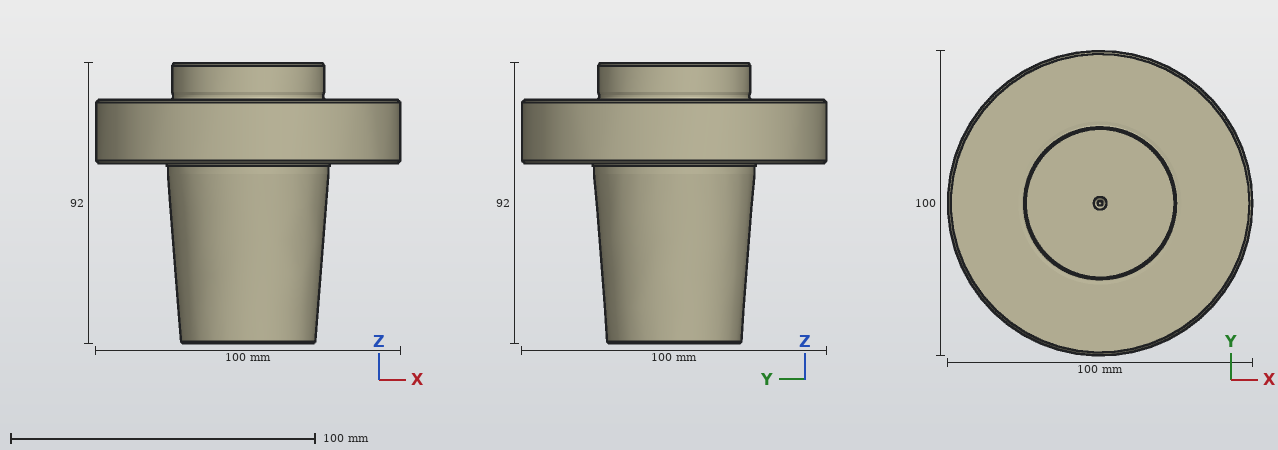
import cadquery as cq

flange_radius = 50
flange_height = 21
flange_chamfer = 1

spigot_radius = 25
spigot_height = 12
spigot_chamfer_height = 1
spigot_chamfer_width = 0.6

relief_depth = 0.3
relief_face_depth = 0.1
relief_height = 2.5
relief_slope_height = 1
relief_fillet = 1
relief_outer_radius = 26.8

shank_length = 59
shank_top_radius = 26.4
shank_end_radius = 22.1
shank_chamfer = 0.7
collar_height = 3.5
collar_rim_radius = 26.8
collar_rim_height = 0.8

centre_radius = 2.1
pilot_radius = 0.8
pilot_depth = 4

top = flange_height + spigot_height
neck_radius = spigot_radius - relief_depth
relief_start = flange_height + relief_height
relief_floor = flange_height - relief_face_depth


def make_body():
    """Revolve the half section of shank, flange and spigot about Z."""
    return (
        cq.Workplane("XZ")
        .moveTo(0, -shank_length)
        .lineTo(shank_end_radius - shank_chamfer, -shank_length)
        .lineTo(shank_end_radius, -shank_length + shank_chamfer)
        .lineTo(shank_top_radius, -collar_height)
        .lineTo(shank_top_radius, -collar_rim_height)
        .lineTo(collar_rim_radius, -collar_rim_height)
        .lineTo(collar_rim_radius, 0)
        .lineTo(flange_radius - flange_chamfer, 0)
        .lineTo(flange_radius, flange_chamfer)
        .lineTo(flange_radius, flange_height - flange_chamfer)
        .lineTo(flange_radius - flange_chamfer, flange_height)
        .lineTo(relief_outer_radius, flange_height)
        .lineTo(neck_radius + relief_fillet, relief_floor)
        .radiusArc((neck_radius, relief_floor + relief_fillet), relief_fillet)
        .lineTo(neck_radius, relief_start - relief_slope_height)
        .lineTo(spigot_radius, relief_start)
        .lineTo(spigot_radius, top - spigot_chamfer_height)
        .lineTo(spigot_radius - spigot_chamfer_width, top)
        .lineTo(0, top)
        .close()
        .revolve(360, (0, 0, 0), (0, 1, 0))
    )


def make_centre_hole():
    """Centre mark: a 45 degree cone narrowing to the pilot bore, which ends in a point."""
    cone_depth = centre_radius - pilot_radius
    return (
        cq.Workplane("XZ")
        .moveTo(0, top)
        .lineTo(centre_radius, top)
        .lineTo(pilot_radius, top - cone_depth)
        .lineTo(pilot_radius, top - pilot_depth)
        .lineTo(0, top - pilot_depth - pilot_radius)
        .close()
        .revolve(360, (0, 0, 0), (0, 1, 0))
    )


result = make_body().cut(make_centre_hole())